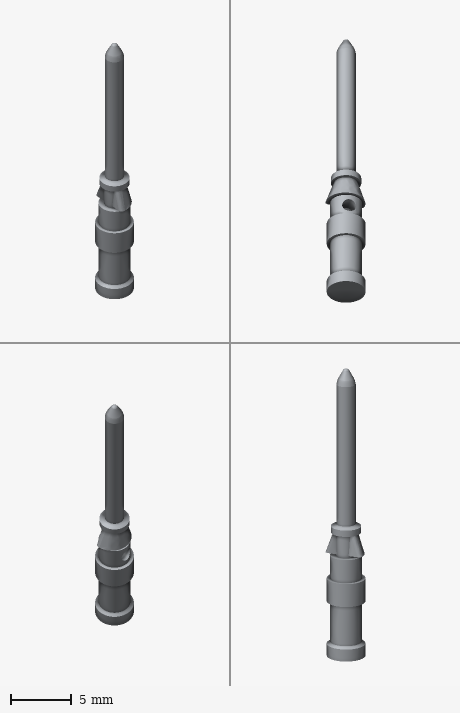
import cadquery as cq

foot_radius = 1.6
sleeve_radius = 1.32
core_radius = 0.88
flange_radius = 1.25
pin_radius = 0.8
tip_cone_radius = 0.65
tip_radius = 0.25

foot_edge_z = 1.05
foot_top_z = 1.25
collar_bottom_z = 4.75
collar_top_z = 6.75
sleeve_top_z = 8.75
flange_bottom_z = 10.75
flange_edge_z = 11.3
flange_top_z = 11.5
pin_top_z = 23.65
tip_cone_z = 24.15
tip_rim_z = 24.88
total_length = 25.0

shoulder_mid_radius = 0.75
shoulder_mid_z = (pin_top_z + tip_cone_z) / 2

skirt_bottom_z = 8.95
skirt_bottom_radius = 1.65
skirt_bottom_y = -0.3
skirt_top_radius = 1.02
skirt_top_y = -0.1
skirt_gap_bottom_y = -0.7
skirt_gap_top_y = -0.6
skirt_corner_radius = 0.3

hole_radius = 0.58
hole_z = 7.75


def turned_body():
    """Revolve the stepped contact, from foot to rounded tip, about Z."""
    profile = (
        cq.Workplane("XZ")
        .moveTo(0, 0)
        .lineTo(foot_radius, 0)
        .lineTo(foot_radius, foot_edge_z)
        .lineTo(sleeve_radius, foot_top_z)
        .lineTo(sleeve_radius, collar_bottom_z)
        .lineTo(foot_radius, collar_bottom_z)
        .lineTo(foot_radius, collar_top_z)
        .lineTo(sleeve_radius, collar_top_z)
        .lineTo(sleeve_radius, sleeve_top_z)
        .lineTo(core_radius, sleeve_top_z)
        .lineTo(core_radius, flange_bottom_z)
        .lineTo(flange_radius, flange_bottom_z)
        .lineTo(flange_radius, flange_edge_z)
        .lineTo(pin_radius, flange_top_z)
        .lineTo(pin_radius, pin_top_z)
        .threePointArc((shoulder_mid_radius, shoulder_mid_z), (tip_cone_radius, tip_cone_z))
        .lineTo(tip_radius, tip_rim_z)
    )
    cap_height = total_length - tip_rim_z
    cap_sphere_radius = (tip_radius**2 + cap_height**2) / (2 * cap_height)
    return (
        profile.radiusArc((0, total_length), -cap_sphere_radius)
        .close()
        .revolve(360, (0, 0, 0), (0, 1, 0))
    )


def retaining_skirt():
    """Oblique cone around the core, open on the -Y side."""
    height = flange_bottom_z - skirt_bottom_z
    cone = (
        cq.Workplane("XY", origin=(0, 0, skirt_bottom_z))
        .center(0, skirt_bottom_y)
        .circle(skirt_bottom_radius)
        .workplane(offset=height)
        .center(0, skirt_top_y - skirt_bottom_y)
        .circle(skirt_top_radius)
        .loft(ruled=True)
    )
    outer_y = skirt_bottom_y - 2 * skirt_bottom_radius
    gap = (
        cq.Workplane("YZ")
        .polyline([
            (outer_y, skirt_bottom_z),
            (skirt_gap_bottom_y, skirt_bottom_z),
            (skirt_gap_top_y, flange_bottom_z),
            (outer_y, flange_bottom_z),
        ])
        .close()
        .extrude(2 * skirt_bottom_radius, both=True)
    )
    corners = cq.selectors.BoxSelector(
        (-skirt_bottom_radius, skirt_gap_bottom_y, skirt_bottom_z + height / 4),
        (skirt_bottom_radius, skirt_gap_top_y, flange_bottom_z - height / 4),
    )
    return cone.cut(gap).edges(corners).fillet(skirt_corner_radius)


def inspection_hole():
    """Radial cutter running from the axis out through the +Y side."""
    return (
        cq.Workplane("XZ", origin=(0, 0, hole_z))
        .circle(hole_radius)
        .extrude(-2 * sleeve_radius)
    )


result = turned_body().union(retaining_skirt()).cut(inspection_hole())